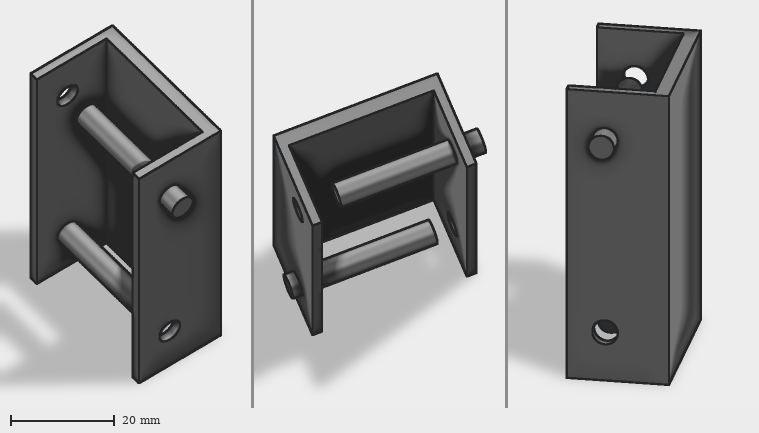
import cadquery as cq

channel_width = 34.0
channel_depth = 20.0
channel_height = 60.0
side_wall = 2.0
back_wall = 3.0

pin_diameter = 5.0
pin_length = 30.0
pin_from_front = 7.5
pin_from_end = 10.0
upper_pin_overhang = 4.0
lower_pin_overhang = 2.0

half_width = channel_width / 2
pin_y = pin_from_front - channel_depth / 2
upper_pin_z = channel_height / 2 - pin_from_end
lower_pin_z = -upper_pin_z
upper_pin_start = half_width + upper_pin_overhang - pin_length
lower_pin_start = -half_width - lower_pin_overhang


def make_rod(start_x, z, length):
    """Cylinder of pin diameter running in +X from start_x."""
    return (
        cq.Workplane("YZ", origin=(start_x, pin_y, z))
        .circle(pin_diameter / 2)
        .extrude(length)
    )


def make_channel():
    """U-shaped housing with two pin holes through both side walls."""
    body = cq.Workplane("XY").box(channel_width, channel_depth, channel_height)
    cavity = (
        cq.Workplane("XY")
        .box(channel_width - 2 * side_wall, channel_depth - back_wall, channel_height)
        .translate((0, -back_wall / 2, 0))
    )
    body = body.cut(cavity)
    for hole_z in (lower_pin_z, upper_pin_z):
        body = body.cut(make_rod(-half_width, hole_z, channel_width))
    return body


def make_pin(start_x, z):
    """Plain cylindrical pin that fills its hole."""
    return make_rod(start_x, z, pin_length)


channel = make_channel()
pin_places = [(lower_pin_start, lower_pin_z), (upper_pin_start, upper_pin_z)]
pins = [make_pin(start_x, z) for start_x, z in pin_places]

result = cq.Compound.makeCompound([channel.val(), *[pin.val() for pin in pins]])